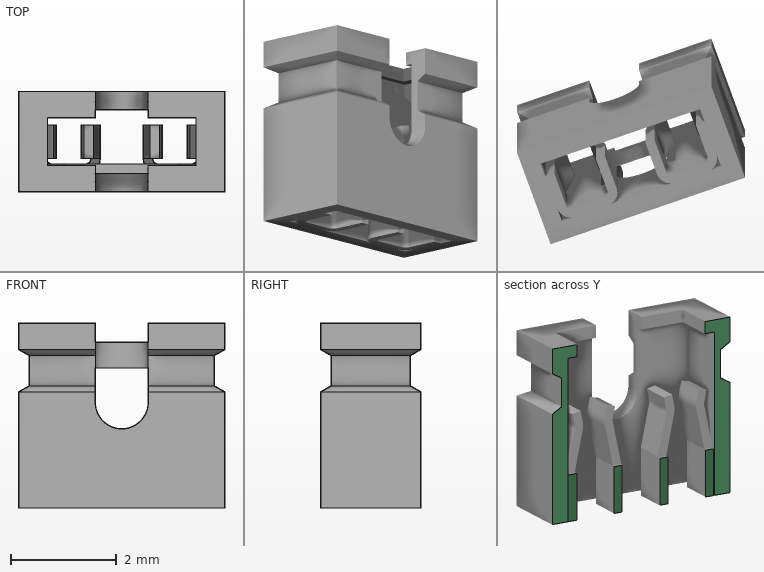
import cadquery as cq
import math


LENGTH = 3.9
WIDTH = 1.9
HEIGHT = 3.5
GROOVE_DEPTH = 0.2
GROOVE_BOTTOM = 2.2
GROOVE_TOP = 3.0
GROOVE_SLOPE = 30.0
SLOT_WIDTH = 1.0
SLOT_CENTRE_Z = 2.0
CAVITY_LENGTH = 3.198
CAVITY_WIDTH = 1.2
LIP_OVERHANG_X = 0.2
LIP_OVERHANG_Y = 0.152
LIP_HEIGHT = 0.25

SHEET = 0.18
PIN_OFFSET = 1.002
BEND_RADIUS = 0.1
TAB_END_Y = 0.32
SPRING_TILT = 12.0
SPRING_INNER_RADIUS = 0.187
SPRING_REACH = 0.363
BULGE_Z = 1.84
SPRING_TIP_Z = 2.14
BAR_TOP = 3.14
BAR_BOTTOM = 2.65
BAR_FLAT_LENGTH = 2.19
SHOULDER_SLOPE = 30.0
PLATE_WINDOW_LENGTH = 1.498

tilt = math.radians(SPRING_TILT)
plate_outer_y = -CAVITY_WIDTH / 2
bend_outer_radius = BEND_RADIUS + SHEET
tab_start_y = plate_outer_y + bend_outer_radius
channel_half = CAVITY_LENGTH / 2 - PIN_OFFSET
bulge_outer_radius = SPRING_INNER_RADIUS + SHEET
bulge_centre_u = SPRING_REACH - bulge_outer_radius


def centred_box(length, width, height, bottom):
    """Box centred on the Z axis, standing on the given height."""
    return cq.Workplane("XY").workplane(offset=bottom).rect(length, width).extrude(height)


def finger_groove():
    """Ring-shaped cutter with sloping flanks, running around the housing."""
    flank = GROOVE_DEPTH * math.tan(math.radians(GROOVE_SLOPE))
    neck_length = LENGTH - 2 * GROOVE_DEPTH
    neck_width = WIDTH - 2 * GROOVE_DEPTH
    lower = (
        cq.Workplane("XY").workplane(offset=GROOVE_BOTTOM).rect(LENGTH, WIDTH)
        .workplane(offset=flank).rect(neck_length, neck_width).loft(ruled=True)
    )
    upper = (
        cq.Workplane("XY").workplane(offset=GROOVE_TOP - flank).rect(neck_length, neck_width)
        .workplane(offset=flank).rect(LENGTH, WIDTH).loft(ruled=True)
    )
    neck_bottom = GROOVE_BOTTOM + flank
    neck = centred_box(neck_length, neck_width, GROOVE_TOP - flank - neck_bottom, neck_bottom)
    band = centred_box(LENGTH, WIDTH, GROOVE_TOP - GROOVE_BOTTOM, GROOVE_BOTTOM)
    return band.cut(neck).cut(lower).cut(upper)


def wall_slot():
    """Round-bottomed slot cutter, open at the top, through both long walls."""
    radius = SLOT_WIDTH / 2
    return (
        cq.Workplane("XZ")
        .moveTo(-radius, HEIGHT)
        .lineTo(-radius, SLOT_CENTRE_Z)
        .threePointArc((0, SLOT_CENTRE_Z - radius), (radius, SLOT_CENTRE_Z))
        .lineTo(radius, HEIGHT)
        .close()
        .extrude(WIDTH / 2, both=True)
    )


def make_housing():
    body = centred_box(LENGTH, WIDTH, HEIGHT, 0)
    cavity = centred_box(CAVITY_LENGTH, CAVITY_WIDTH, HEIGHT - LIP_HEIGHT, 0)
    window = centred_box(
        CAVITY_LENGTH - 2 * LIP_OVERHANG_X, CAVITY_WIDTH - 2 * LIP_OVERHANG_Y, HEIGHT, 0
    )
    return body.cut(finger_groove()).cut(cavity).cut(window).cut(wall_slot())


def bulge_point(radius, angle):
    """Point on the bulge: u inward from the tab's outer face, and height z."""
    return (bulge_centre_u + radius * math.cos(angle), BULGE_Z + radius * math.sin(angle))


def root_height(radius, face_u):
    """Height where a leaning face of the spring meets its upright tab face at u."""
    start_u, start_z = bulge_point(radius, -tilt)
    return start_z - (start_u - face_u) / math.tan(tilt)


outer_root_z = root_height(SPRING_INNER_RADIUS, 0)
inner_root_z = root_height(bulge_outer_radius, SHEET)


def spring_tab():
    """Upright tab with its spring, its outer face at X = 0, bulging toward +X."""
    shoulder_u, shoulder_z = bulge_point(bulge_outer_radius, tilt)
    inner_tip = (shoulder_u - (SPRING_TIP_Z - shoulder_z) * math.tan(tilt), SPRING_TIP_Z)
    outer_tip = (inner_tip[0] - SHEET * math.cos(tilt), inner_tip[1] - SHEET * math.sin(tilt))
    return (
        cq.Workplane("XZ", origin=(0, TAB_END_Y, 0))
        .moveTo(0, 0)
        .lineTo(SHEET, 0)
        .lineTo(SHEET, inner_root_z)
        .lineTo(*bulge_point(bulge_outer_radius, -tilt))
        .threePointArc(
            bulge_point(bulge_outer_radius, 0), bulge_point(bulge_outer_radius, tilt)
        )
        .lineTo(*inner_tip)
        .lineTo(*outer_tip)
        .lineTo(*bulge_point(SPRING_INNER_RADIUS, tilt))
        .threePointArc(
            bulge_point(SPRING_INNER_RADIUS, 0), bulge_point(SPRING_INNER_RADIUS, -tilt)
        )
        .lineTo(0, outer_root_z)
        .close()
        .extrude(TAB_END_Y - tab_start_y)
    )


def channel_block(half_length, start_y, corner_radius):
    """Block up to the tabs' free edges, with its two corners at low Y rounded."""
    return (
        cq.Workplane("XY", origin=(0, start_y, 0))
        .box(2 * half_length, TAB_END_Y - start_y, inner_root_z, centered=(True, False, False))
        .edges("|Z and <Y").fillet(corner_radius)
    )


def channel_base():
    """U-shaped foot of one channel, open toward +Y and centred on X = 0."""
    outer = channel_block(channel_half, plate_outer_y, bend_outer_radius)
    inner = channel_block(channel_half - SHEET, plate_outer_y + SHEET, BEND_RADIUS)
    return outer.cut(inner)


def bridge_plate():
    """Bar joining the two channels, with an upright on each side."""
    half_length = CAVITY_LENGTH / 2
    half_flat = BAR_FLAT_LENGTH / 2
    half_window = PLATE_WINDOW_LENGTH / 2
    shoulder_drop = (half_length - half_flat) * math.tan(math.radians(SHOULDER_SLOPE))
    foot = PIN_OFFSET + channel_half - bend_outer_radius
    right_side = [
        (half_window, BAR_BOTTOM),
        (half_window, 0),
        (foot, 0),
        (foot, inner_root_z),
        (half_length, inner_root_z),
        (half_length, BAR_TOP - shoulder_drop),
        (half_flat, BAR_TOP),
    ]
    left_side = [(-x, z) for x, z in reversed(right_side)]
    return (
        cq.Workplane("XZ", origin=(0, plate_outer_y, 0))
        .polyline(right_side + left_side).close().extrude(-SHEET)
    )


def make_contact():
    body = bridge_plate()
    left_tab = spring_tab().translate((-channel_half, 0, 0))
    right_tab = left_tab.mirror("YZ")
    channel = channel_base().union(left_tab).union(right_tab)
    for pin_x in (-PIN_OFFSET, PIN_OFFSET):
        body = body.union(channel.translate((pin_x, 0, 0)))
    return body


housing = make_housing()
contact = make_contact()

result = cq.Compound.makeCompound([housing.solids().val(), contact.solids().val()])